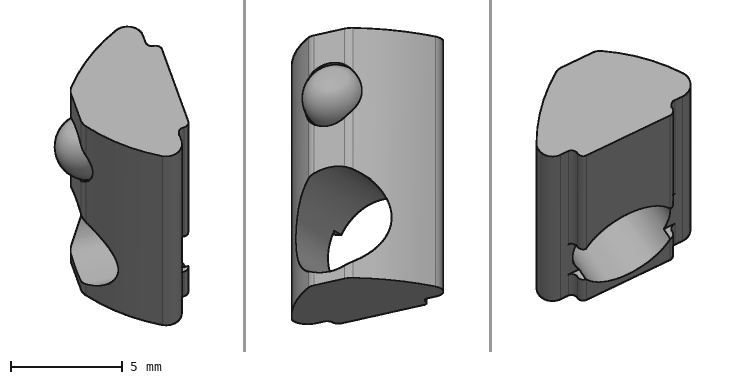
import cadquery as cq
import math

length = 12.0
width = 7.7
depth = 4.61

rib_width = 4.87
rib_height = 0.6
rib_round = rib_height / 2

lobe_radius = 0.72
lobe_end_angle = math.radians(-29)
front_flat_half = 0.79
front_round_end = (1.18, 0.12)

hole_diameter = 5.0
hole_z = length / 4
slot_height = 2.5

ball_radius = 1.5
ball_protrusion = 0.94
ball_z = 3 * length / 4
ball_center = (0, ball_radius - ball_protrusion, ball_z)

shoulder_y = depth - rib_height


def half_profile():
    """Right half of the cross-section, closed along the symmetry plane."""
    lobe_x = width / 2 - lobe_radius
    lobe_y = shoulder_y - lobe_radius
    lobe_start = (
        lobe_x + lobe_radius * math.cos(lobe_end_angle),
        lobe_y + lobe_radius * math.sin(lobe_end_angle),
    )
    rib_x = rib_width / 2
    return (
        cq.Workplane("XY")
        .lineTo(front_flat_half, 0)
        .tangentArcPoint(front_round_end, relative=False)
        .tangentArcPoint(lobe_start, relative=False)
        .threePointArc((width / 2, lobe_y), (lobe_x, shoulder_y))
        .lineTo(rib_x + rib_round, shoulder_y)
        .radiusArc((rib_x, shoulder_y + rib_round), rib_round)
        .radiusArc((rib_x - rib_round, depth), -rib_round)
        .lineTo(0, depth)
        .close()
    )


def make_ball():
    return cq.Workplane("XY").sphere(ball_radius).translate(ball_center)


def make_socket():
    """Bore from the front face with a hemispherical bottom that seats the ball."""
    bore = (
        cq.Workplane("XZ")
        .center(0, ball_z)
        .circle(ball_radius)
        .extrude(-ball_center[1])
    )
    return bore.union(make_ball())


def make_nut():
    right_half = half_profile().extrude(length)
    body = right_half.union(right_half.mirror("YZ")).clean()
    hole = (
        cq.Workplane("XZ")
        .center(0, hole_z)
        .circle(hole_diameter / 2)
        .extrude(-depth)
    )
    rib_slot = (
        cq.Workplane("XY")
        .box(width, rib_height, slot_height)
        .translate((0, depth - rib_height / 2, hole_z))
    )
    return body.cut(hole).cut(rib_slot).cut(make_socket())


nut = make_nut()
ball = make_ball()

result = cq.Compound.makeCompound([nut.solids().val(), ball.val()])